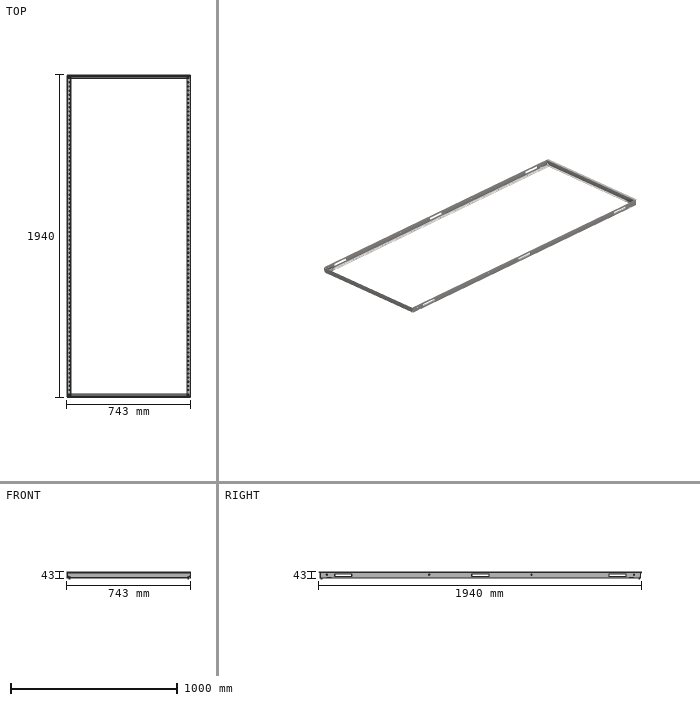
import cadquery as cq
import math

FRAME_WIDTH = 743.0
FRAME_LENGTH = 1940.0
OVERALL_HEIGHT = 43.0
SHEET = 1.5
SCREW_PROTRUSION = 5.0
RAIL_HEIGHT = OVERALL_HEIGHT - SCREW_PROTRUSION

LIP_OVERHANG = 6.8
LIP_CORNER_TRIM = 3.0
END_FLANGE_REACH = 21.0
END_FLANGE_SETBACK = 10.0
CORNER_CUT_WIDTH = 21.0
CORNER_CUT_HEIGHT = 14.0

SIDE_FLANGE_WIDTH = 23.0
SIDE_RAIL_LENGTH = FRAME_LENGTH - 2 * (LIP_OVERHANG + SHEET)

HOLE_DIAMETER = 5.0
FLANGE_HOLE_COUNT = 75
FLANGE_HOLE_SPAN = 1850.0
FLANGE_HOLE_PITCH = FLANGE_HOLE_SPAN / (FLANGE_HOLE_COUNT - 1)

WEB_HOLE_COUNT = 4
WEB_HOLE_SPAN = 1847.0
WEB_HOLE_PITCH = WEB_HOLE_SPAN / (WEB_HOLE_COUNT - 1)
WEB_HOLE_HEIGHT = 21.0
WINDOW_LENGTH = 100.0
WINDOW_HEIGHT = 14.0
WINDOW_PITCH = 825.0
SLIT_LENGTH = 25.0
SLIT_HEIGHT = 3.0
SLIT_INSET = 60.0

SCREW_INSET = 14.5
SCREW_DIAMETER = 5.0
HEAD_DIAMETER = 12.0
HEAD_HEIGHT = 3.0

SCREW_X = FRAME_WIDTH / 2 - SCREW_INSET
SCREW_Y = FRAME_LENGTH / 2 - SCREW_INSET
HEAD_SEAT = 2 * SHEET


def screw_bores(y_signs):
    """Cutters for the screw holes on both sides at the given frame ends."""
    points = [(x, y * SCREW_Y) for x in (-SCREW_X, SCREW_X) for y in y_signs]
    return cq.Workplane("XY").pushPoints(points).circle(SCREW_DIAMETER / 2).extrude(HEAD_SEAT)


def web_openings(outer_x):
    """Cutters for the holes, windows and slits through the web whose outer face is at outer_x."""
    web = cq.Workplane("YZ", origin=(outer_x - SHEET, 0, 0))
    hole_points = [
        (-WEB_HOLE_SPAN / 2 + i * WEB_HOLE_PITCH, WEB_HOLE_HEIGHT) for i in range(WEB_HOLE_COUNT)
    ]
    holes = web.pushPoints(hole_points).circle(HOLE_DIAMETER / 2).extrude(SHEET)

    window_points = [(i * WINDOW_PITCH, RAIL_HEIGHT / 2) for i in (-1, 0, 1)]
    windows = web.pushPoints(window_points).rect(WINDOW_LENGTH, WINDOW_HEIGHT).extrude(SHEET)

    slit_y = FRAME_LENGTH / 2 - SLIT_INSET
    slit_points = [(y, SHEET + SLIT_HEIGHT / 2) for y in (-slit_y, slit_y)]
    slits = web.pushPoints(slit_points).rect(SLIT_LENGTH, SLIT_HEIGHT).extrude(SHEET)
    return holes, windows, slits


def make_side_rail():
    """L-shaped rail on the +X side."""
    outer_x = FRAME_WIDTH / 2
    rail = (
        cq.Workplane("XZ", origin=(0, SIDE_RAIL_LENGTH / 2, 0))
        .moveTo(outer_x, 0)
        .lineTo(outer_x, RAIL_HEIGHT)
        .lineTo(outer_x - SHEET, RAIL_HEIGHT)
        .lineTo(outer_x - SHEET, SHEET)
        .lineTo(outer_x - SIDE_FLANGE_WIDTH, SHEET)
        .lineTo(outer_x - SIDE_FLANGE_WIDTH, 0)
        .close()
        .extrude(SIDE_RAIL_LENGTH)
    )
    for cutter in web_openings(outer_x):
        rail = rail.cut(cutter)

    flange_holes = (
        cq.Workplane("XY", origin=(SCREW_X, 0, 0))
        .rarray(20, FLANGE_HOLE_PITCH, 1, FLANGE_HOLE_COUNT)
        .circle(HOLE_DIAMETER / 2)
        .extrude(SHEET)
    )
    return rail.cut(flange_holes).cut(screw_bores((-1, 1)))


def make_end_rail():
    """Z-shaped rail on the +Y side."""
    edge_y = FRAME_LENGTH / 2
    web_outer = edge_y - LIP_OVERHANG
    web_inner = web_outer - SHEET
    flange_edge = edge_y - END_FLANGE_REACH
    lip_edge_width = SHEET * math.sqrt(2)
    lip_base = RAIL_HEIGHT - LIP_OVERHANG

    upper = (
        cq.Workplane("YZ", origin=(-FRAME_WIDTH / 2, 0, 0))
        .moveTo(web_outer, SHEET)
        .lineTo(web_outer, lip_base)
        .lineTo(edge_y, RAIL_HEIGHT)
        .lineTo(edge_y - lip_edge_width, RAIL_HEIGHT)
        .lineTo(web_inner, lip_base + lip_edge_width - SHEET)
        .lineTo(web_inner, SHEET)
        .close()
        .extrude(FRAME_WIDTH)
    )

    for side in (-1, 1):
        corner_x = side * FRAME_WIDTH / 2

        web_cut = (
            cq.Workplane("XZ", origin=(0, web_outer, 0))
            .moveTo(corner_x, SHEET)
            .lineTo(corner_x, SHEET + CORNER_CUT_HEIGHT)
            .lineTo(corner_x - side * CORNER_CUT_WIDTH, SHEET)
            .close()
            .extrude(SHEET)
        )

        lip_trim = (
            cq.Workplane("XY", origin=(0, 0, lip_base))
            .moveTo(corner_x, web_outer)
            .lineTo(corner_x, edge_y)
            .lineTo(corner_x - side * LIP_CORNER_TRIM, edge_y)
            .close()
            .extrude(LIP_OVERHANG)
        )
        upper = upper.cut(web_cut).cut(lip_trim)

    flange_length = FRAME_WIDTH - 2 * END_FLANGE_SETBACK
    flange = (
        cq.Workplane("XY", origin=(0, flange_edge, SHEET))
        .box(flange_length, web_inner - flange_edge, SHEET, centered=(True, False, False))
    )
    return upper.union(flange).cut(screw_bores((1,)))


def make_screw(x, y):
    """Screw with a round head on the stacked flanges and its tip below the frame."""
    head = cq.Workplane("XY", origin=(x, y, HEAD_SEAT)).circle(HEAD_DIAMETER / 2).extrude(HEAD_HEIGHT)
    shank = (
        cq.Workplane("XY", origin=(x, y, -SCREW_PROTRUSION))
        .circle(SCREW_DIAMETER / 2)
        .extrude(SCREW_PROTRUSION + HEAD_SEAT)
    )
    return head.union(shank)


side_rail = make_side_rail()
end_rail = make_end_rail()
side_rails = [side_rail, side_rail.mirror("YZ")]
end_rails = [end_rail, end_rail.mirror("XZ")]
screws = [make_screw(x, y) for x in (-SCREW_X, SCREW_X) for y in (-SCREW_Y, SCREW_Y)]

result = cq.Compound.makeCompound([body.val() for body in side_rails + end_rails + screws])